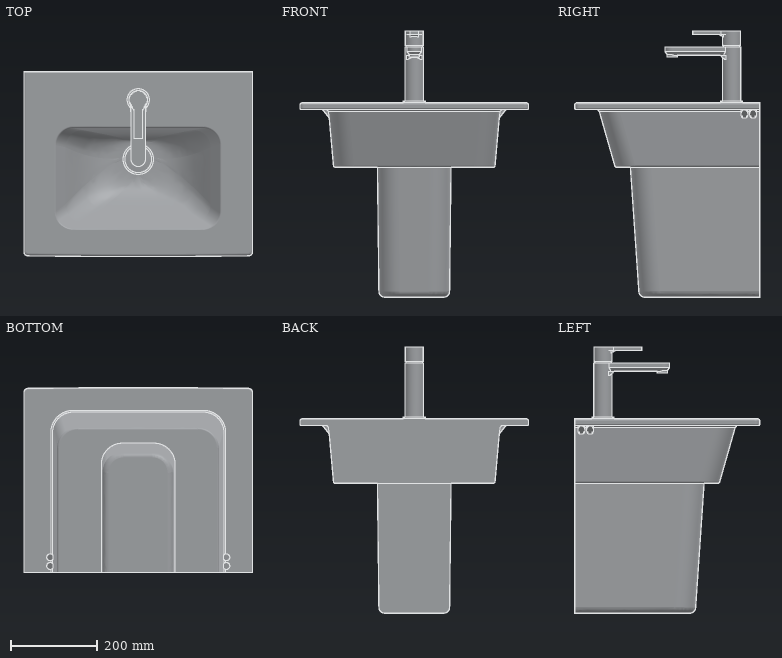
import cadquery as cq
import math


deck_width = 529.95
deck_depth = 428.92
deck_thickness = 16.5
deck_front_bow = 2.0
deck_corner_radius = 10.0
deck_top_rounding = 6.0
deck_bottom_rounding = 4.0

tub_bottom_z = -150.0
tub_top_half_width = 198.5
tub_top_front_y = -372.0
tub_bottom_half_width = 187.0
tub_bottom_front_y = -335.0
tub_corner_radius = 48.0
tub_bottom_rounding = 5.0
tub_flare = 4.0
tub_flare_z = -deck_thickness - tub_flare

boss_radius = 8.0
boss_offset = 204.0
boss_ys = (-15.6, -35.7)
boss_bottom_z = -37.0

opening_half_width = 190.6
opening_back_y = -130.8
opening_front_y = -364.7
opening_corner_radius = 40.0
lip_rounding = 4.0
contour_z = -42.0
contour_half_width = 168.0
contour_back_y = -136.0
contour_front_y = -348.5
contour_corner_radius = 40.0
bowl_floor_z = -137.5
drain_roundness = 0.95
bowl_curve_power = 2.3
bowl_section_fractions = (1.0, 0.85, 0.65, 0.4, 0.2, 0.0)
overflow_radius = 11.0
overflow_z = -35.0
overflow_depth = 15.0
overflow_clearance = 20.0

drain_y = -203.0
drain_radius = 37.7
drain_ledge = 2.5
drain_recess_radius = drain_radius - drain_ledge
drain_recess_z = -139.0
plug_radius = 31.0
plug_edge_height = 5.0
plug_dome_height = 2.0

pedestal_height = 300.75
pedestal_bottom_z = tub_bottom_z - pedestal_height
pedestal_top_half_width = 85.5
pedestal_top_front_y = -300.0
pedestal_bottom_half_width = 82.0
pedestal_bottom_front_y = -279.5
pedestal_corner_radius = 49.0
pedestal_bottom_rounding = 14.0

brace_root_offset = 16.0
tap_y = -65.5
tap_radius = 21.5
tap_flange_radius = 25.8
tap_flange_height = 3.5
tap_body_top_z = 129.0
tap_neck_radius = 19.5
handle_radius = 21.3
handle_bottom_z = 132.5
handle_top_z = 165.9
lever_half_width = 10.3
lever_thickness = 8.5
lever_end_y = -155.5
lever_neck_y = -90.0
lever_shoulder_angle = 40.0
lever_brace_bottom_z = 150.0
lever_brace_end_y = -94.0
spout_half_width = 16.8
spout_side_height = 10.5
spout_bottom_z = 109.5
spout_taper = 32.0
spout_brace_half_width = 17.5
spout_brace_bottom_z = 100.0
spout_brace_end_y = -92.0
aerator_radius = 12.0
aerator_bottom_z = 105.5


def wall_outline(z, half_width, front_y, corner_radius):
    """Outline flat against the wall, with two rounded corners at the front."""
    mid = corner_radius * (1 - math.sqrt(0.5))
    return (
        cq.Workplane("XY", origin=(0, 0, z))
        .moveTo(half_width, 0)
        .lineTo(half_width, front_y + corner_radius)
        .threePointArc((half_width - mid, front_y + mid), (half_width - corner_radius, front_y))
        .lineTo(corner_radius - half_width, front_y)
        .threePointArc((mid - half_width, front_y + mid), (-half_width, front_y + corner_radius))
        .lineTo(-half_width, 0)
        .close()
        .val()
    )


def rounded_rectangle(z, half_width, back_y, front_y, corner_radius):
    """Level outline, centred on X, with four rounded corners."""
    return (
        cq.Sketch()
        .rect(2 * half_width, back_y - front_y)
        .vertices()
        .fillet(corner_radius)
        .reset()
        .faces()
        .val()
        .outerWire()
        .moved(cq.Location(cq.Vector(0, (back_y + front_y) / 2, z)))
    )


def loft(wires, ruled):
    return cq.Workplane(cq.Solid.makeLoft(wires, ruled))


def cylinder(radius, y, bottom_z, top_z, x=0.0):
    return cq.Workplane("XY", origin=(x, y, bottom_z)).circle(radius).extrude(top_z - bottom_z)


def make_deck():
    """Slab with a slightly bowed front; all but its wall edge is rounded."""
    half = deck_width / 2
    side_front_y = -deck_depth + deck_front_bow
    deck = (
        cq.Workplane("XY", origin=(0, 0, -deck_thickness))
        .moveTo(half, 0)
        .lineTo(half, side_front_y)
        .threePointArc((0, -deck_depth), (-half, side_front_y))
        .lineTo(-half, 0)
        .close()
        .extrude(deck_thickness)
        .edges("|Z")
        .edges("<Y")
        .fillet(deck_corner_radius)
    )
    deck = deck.faces(">Z").edges("not >Y").fillet(deck_top_rounding)
    return deck.faces("<Z").edges("not >Y").fillet(deck_bottom_rounding)


def make_tub():
    """Tapered body below the deck, flaring out where it meets the deck."""
    seam = wall_outline(tub_flare_z, tub_top_half_width, tub_top_front_y, tub_corner_radius)
    bottom = wall_outline(tub_bottom_z, tub_bottom_half_width, tub_bottom_front_y, tub_corner_radius)
    flare_top = wall_outline(
        -deck_thickness,
        tub_top_half_width + tub_flare,
        tub_top_front_y - tub_flare,
        tub_corner_radius + tub_flare,
    )
    tub = loft([bottom, seam], True).faces("<Z").edges("not >Y").fillet(tub_bottom_rounding)
    return tub.union(loft([seam, flare_top], True))


def make_support_boss(side, y):
    """Upright round boss beside the tub, its lower end cut off on a slope towards the tub."""
    boss = cylinder(boss_radius, y, boss_bottom_z, -deck_thickness, side * boss_offset)
    outer_x = side * (boss_offset + boss_radius)
    slope = (
        cq.Workplane("XZ", origin=(0, y + boss_radius, 0))
        .moveTo(outer_x, -deck_thickness)
        .lineTo(side * (boss_offset - boss_radius), boss_bottom_z)
        .lineTo(outer_x, boss_bottom_z)
        .close()
        .extrude(2 * boss_radius)
    )
    return boss.cut(slope)


def make_bowl_wall():
    """Upper part of the bowl: nearly straight walls from the opening to the contour."""
    opening = rounded_rectangle(
        0, opening_half_width, opening_back_y, opening_front_y, opening_corner_radius
    )
    contour = rounded_rectangle(
        contour_z, contour_half_width, contour_back_y, contour_front_y, contour_corner_radius
    )
    return loft([contour, opening], True)


def bowl_section(fraction):
    """Section of the curved bowl: 1 is the contour below the walls, 0 is the drain edge."""
    def blend(outer, inner):
        return inner + (outer - inner) * fraction

    back_y = blend(contour_back_y, drain_y + drain_radius)
    front_y = blend(contour_front_y, drain_y - drain_radius)
    contour_roundness = 2 * contour_corner_radius / (contour_back_y - contour_front_y)
    return rounded_rectangle(
        contour_z + (bowl_floor_z - contour_z) * (1 - fraction**bowl_curve_power),
        blend(contour_half_width, drain_radius),
        back_y,
        front_y,
        blend(contour_roundness, drain_roundness) * (back_y - front_y) / 2,
    )


def cut_overflow(basin):
    """Blind hole in the back wall of the bowl, drilled from inside the bowl towards the wall."""
    start_y = opening_back_y - overflow_clearance
    overflow = (
        cq.Workplane("XZ", origin=(0, start_y, overflow_z))
        .circle(overflow_radius)
        .extrude(-(overflow_clearance + overflow_depth))
    )
    return basin.cut(overflow)


def opening_edges():
    """Selector for the edges of the bowl opening on the deck surface."""
    margin = 1.0
    return cq.selectors.BoxSelector(
        (-opening_half_width - margin, opening_front_y - margin, -margin),
        (opening_half_width + margin, opening_back_y + margin, margin),
        boundingbox=True,
    )


def make_basin():
    basin = make_deck().union(make_tub())
    for side in (-1, 1):
        for y in boss_ys:
            basin = basin.union(make_support_boss(side, y))
    basin = basin.cut(make_bowl_wall())
    basin = basin.edges(opening_edges()).fillet(lip_rounding)
    basin = basin.cut(loft([bowl_section(f) for f in bowl_section_fractions], False))
    basin = basin.cut(cylinder(drain_recess_radius, drain_y, drain_recess_z, bowl_floor_z))
    return cut_overflow(basin)


def make_plug():
    """Round plug with a slightly domed top, standing on the floor of the drain recess."""
    edge_z = drain_recess_z + plug_edge_height
    top_z = edge_z + plug_dome_height
    half_chord = plug_radius / 2
    dome_radius = (plug_radius**2 + plug_dome_height**2) / (2 * plug_dome_height)
    mid_z = top_z - dome_radius + math.sqrt(dome_radius**2 - half_chord**2)
    return (
        cq.Workplane("XZ", origin=(0, drain_y, 0))
        .moveTo(0, drain_recess_z)
        .lineTo(plug_radius, drain_recess_z)
        .lineTo(plug_radius, edge_z)
        .threePointArc((half_chord, mid_z), (0, top_z))
        .close()
        .revolve(360, (0, 0), (0, 1))
    )


def make_pedestal():
    """Half pedestal under the tub, tapering downwards, with a rounded lower edge."""
    bottom = wall_outline(
        pedestal_bottom_z, pedestal_bottom_half_width, pedestal_bottom_front_y, pedestal_corner_radius
    )
    top = wall_outline(
        tub_bottom_z, pedestal_top_half_width, pedestal_top_front_y, pedestal_corner_radius
    )
    pedestal = loft([bottom, top], True)
    return pedestal.faces("<Z").edges("not >Y").fillet(pedestal_bottom_rounding)


def make_brace(half_width, top_z, bottom_z, end_y):
    """Sloping brace under an arm, running from inside the tap column to the arm's underside."""
    root_y = tap_y - brace_root_offset
    return (
        cq.Workplane("YZ", origin=(-half_width, 0, 0))
        .moveTo(tap_y, top_z)
        .lineTo(end_y, top_z)
        .lineTo(root_y, bottom_z)
        .lineTo(tap_y, bottom_z)
        .close()
        .extrude(2 * half_width)
    )


def make_handle():
    """Round head with a flat lever that narrows from the head's shoulders."""
    handle = cylinder(handle_radius, tap_y, handle_bottom_z, handle_top_z)
    shoulder_x = handle_radius * math.cos(math.radians(lever_shoulder_angle))
    shoulder_y = tap_y - handle_radius * math.sin(math.radians(lever_shoulder_angle))
    lever_bottom_z = handle_top_z - lever_thickness
    lever = (
        cq.Workplane("XY", origin=(0, 0, lever_bottom_z))
        .moveTo(shoulder_x, shoulder_y)
        .lineTo(lever_half_width, lever_neck_y)
        .lineTo(lever_half_width, lever_end_y)
        .lineTo(-lever_half_width, lever_end_y)
        .lineTo(-lever_half_width, lever_neck_y)
        .lineTo(-shoulder_x, shoulder_y)
        .close()
        .extrude(lever_thickness)
    )
    brace = make_brace(lever_half_width, lever_bottom_z, lever_brace_bottom_z, lever_brace_end_y)
    return handle.union(lever).union(brace)


def make_spout():
    """Flat arm with a round end over the drain, tapering below its upright sides."""
    side_bottom_z = tap_body_top_z - spout_side_height

    def outline():
        return (
            cq.Workplane("XY", origin=(0, 0, side_bottom_z))
            .moveTo(spout_half_width, tap_y)
            .lineTo(spout_half_width, drain_y)
            .threePointArc((0, drain_y - spout_half_width), (-spout_half_width, drain_y))
            .lineTo(-spout_half_width, tap_y)
            .close()
        )

    upper = outline().extrude(spout_side_height)
    lower = outline().extrude(spout_bottom_z - side_bottom_z, taper=spout_taper)
    aerator = cylinder(aerator_radius, drain_y, aerator_bottom_z, side_bottom_z)
    brace = make_brace(
        spout_brace_half_width, spout_bottom_z, spout_brace_bottom_z, spout_brace_end_y
    )
    return upper.union(lower).union(aerator).union(brace)


def make_tap():
    """Column on a flange, with the spout at its top and the handle on a narrower neck."""
    flange = cylinder(tap_flange_radius, tap_y, 0, tap_flange_height)
    column = cylinder(tap_radius, tap_y, 0, tap_body_top_z)
    neck = cylinder(tap_neck_radius, tap_y, 0, handle_top_z)
    return flange.union(column).union(neck).union(make_spout()).union(make_handle())


basin = make_basin()
pedestal = make_pedestal()
tap = make_tap()
plug = make_plug()

result = cq.Compound.makeCompound([basin.val(), pedestal.val(), tap.val(), plug.val()])